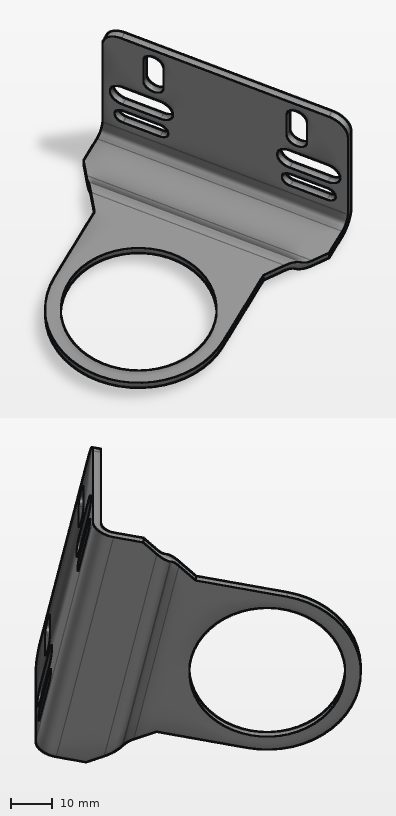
import cadquery as cq
import math

width = 65.0
depth = 71.9
height = 40.0
thickness = 2.0

bend_inner_radius = 3.0
bend_outer_radius = bend_inner_radius + thickness
jog_start = 16.2
jog_rise = 3.0
jog_angle = math.radians(50)

ring_radius = 22.35
ring_hole_diameter = 37.2
ring_center_y = ring_radius - depth
taper_start_y = -12.3
taper_end_y = -27.3

corner_radius = 5.0
slots = [
    (19.0, 30.7, 13.3, 5.3, 90),
    (22.15, 18.0, 16.7, 6.6, 0),
    (22.15, 10.0, 14.25, 4.45, 0),
]


def bent_sheet():
    """Sheet with a right-angle bend and an upward jog, extruded across X."""
    sin_jog = math.sin(jog_angle)
    cos_jog = math.cos(jog_angle)
    radius_sum = bend_inner_radius + bend_outer_radius
    slope_length = (jog_rise - radius_sum * (1 - cos_jog)) / sin_jog
    jog_run = radius_sum * sin_jog + slope_length * cos_jog
    jog_end_y = -jog_start - jog_run

    def on_arc(y, z, radius, angle):
        return (y + radius * math.cos(angle), z + radius * math.sin(angle))

    main_center = (-bend_outer_radius, bend_outer_radius)
    lower_center = (-jog_start, bend_outer_radius)
    upper_center = (jog_end_y, jog_rise - bend_inner_radius)
    down = -math.pi / 2
    up = math.pi / 2

    def main_bend(radius):
        return on_arc(*main_center, radius, -math.pi / 4)

    def lower_bend(radius, turn):
        return on_arc(*lower_center, radius, down - turn)

    def upper_bend(radius, turn):
        return on_arc(*upper_center, radius, up - turn)

    inner = bend_inner_radius
    outer = bend_outer_radius
    half_turn = jog_angle / 2
    return (
        cq.Workplane("YZ")
        .moveTo(0, height)
        .lineTo(0, outer)
        .threePointArc(main_bend(outer), (-outer, 0))
        .lineTo(-jog_start, 0)
        .threePointArc(lower_bend(outer, half_turn), lower_bend(outer, jog_angle))
        .lineTo(*upper_bend(inner, jog_angle))
        .threePointArc(upper_bend(inner, half_turn), (jog_end_y, jog_rise))
        .lineTo(-depth, jog_rise)
        .lineTo(-depth, jog_rise + thickness)
        .lineTo(jog_end_y, jog_rise + thickness)
        .threePointArc(upper_bend(outer, half_turn), upper_bend(outer, jog_angle))
        .lineTo(*lower_bend(inner, jog_angle))
        .threePointArc(lower_bend(inner, half_turn), (-jog_start, thickness))
        .lineTo(-outer, thickness)
        .threePointArc(main_bend(inner), (-thickness, outer))
        .lineTo(-thickness, height)
        .close()
        .extrude(width / 2, both=True)
    )


def plan_outline():
    """Full-height prism of the plan shape: wide back, tapered sides, round ring."""
    half_width = width / 2
    return (
        cq.Workplane("XY")
        .moveTo(-half_width, 0)
        .lineTo(-half_width, taper_start_y)
        .lineTo(-ring_radius, taper_end_y)
        .lineTo(-ring_radius, ring_center_y)
        .threePointArc((0, -depth), (ring_radius, ring_center_y))
        .lineTo(ring_radius, taper_end_y)
        .lineTo(half_width, taper_start_y)
        .lineTo(half_width, 0)
        .close()
        .extrude(height)
    )


def ring_hole():
    return (
        cq.Workplane("XY")
        .center(0, ring_center_y)
        .circle(ring_hole_diameter / 2)
        .extrude(height)
    )


def slot_pair(offset, center_z, length, slot_width, angle):
    """Cutters for two mirrored slots through the upright plate."""
    return (
        cq.Workplane("XZ")
        .pushPoints([(-offset, center_z), (offset, center_z)])
        .slot2D(length, slot_width, angle)
        .extrude(thickness)
    )


result = bent_sheet().intersect(plan_outline())
result = result.edges("|Y and >Z").fillet(corner_radius)
result = result.cut(ring_hole())
for slot in slots:
    result = result.cut(slot_pair(*slot))